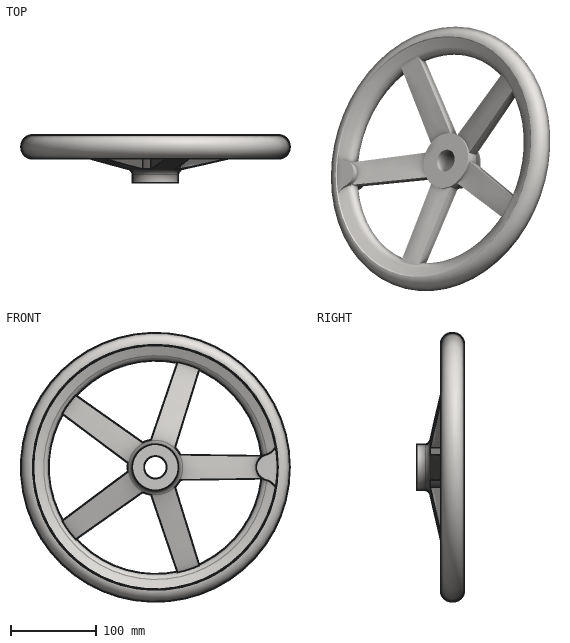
import cadquery as cq
import math


OUTER_RADIUS = 157.5
RIM_THICKNESS = 28.0
RIM_WIDTH = 33.0
GRIP_RADIUS = RIM_THICKNESS / 2
GRIP_CENTER_RADIUS = OUTER_RADIUS - GRIP_RADIUS
RIM_INNER_RADIUS = OUTER_RADIUS - RIM_WIDTH
RIM_STEP = 1.0
FLANK_RADIUS = GRIP_CENTER_RADIUS - RIM_STEP
NOSE_RADIUS = 9.5
RIM_MID_Y = RIM_THICKNESS / 2

HUB_FACE_Y = -28.0
HUB_NECK_RADIUS = 27.0
HUB_FILLET = 6.0
HUB_BODY_RADIUS = 32.7
HUB_LENGTH = 32.0
BORE_DIAMETER = 26.0

SPOKE_COUNT = 5
SPOKE_START_RADIUS = 20.0
SPOKE_END_RADIUS = 132.0
SPOKE_START_WIDTH = 30.0
SPOKE_END_WIDTH = 26.2
SPOKE_ROOT_RADIUS = 31.0
SPOKE_ROOT_Y = -12.3
SPOKE_TILT = 12.8
SPOKE_START_THICKNESS = 13.5
SPOKE_END_THICKNESS = 11.8

PAD_RADIUS = 15.3
PAD_CENTER_RADIUS = 133.3
PAD_JOIN_ANGLE = 105.0
PAD_FLARE_RADIUS = 18.0
PAD_STEP = RIM_STEP


def make_rim():
    """Half-round grip outside, flanks tapering to a rounded nose inside."""
    corner_height = GRIP_RADIUS - RIM_STEP
    nose_center = RIM_INNER_RADIUS + NOSE_RADIUS
    span = FLANK_RADIUS - nose_center
    reach = math.hypot(span, corner_height)
    normal_angle = math.atan2(corner_height, span) + math.acos(NOSE_RADIUS / reach)
    tangent_radius = nose_center + NOSE_RADIUS * math.cos(normal_angle)
    tangent_height = NOSE_RADIUS * math.sin(normal_angle)

    profile = (
        cq.Workplane("XY")
        .moveTo(GRIP_CENTER_RADIUS, RIM_MID_Y - GRIP_RADIUS)
        .threePointArc((OUTER_RADIUS, RIM_MID_Y), (GRIP_CENTER_RADIUS, RIM_MID_Y + GRIP_RADIUS))
        .lineTo(FLANK_RADIUS, RIM_MID_Y + corner_height)
        .lineTo(tangent_radius, RIM_MID_Y + tangent_height)
        .threePointArc((RIM_INNER_RADIUS, RIM_MID_Y), (tangent_radius, RIM_MID_Y - tangent_height))
        .lineTo(FLANK_RADIUS, RIM_MID_Y - corner_height)
        .close()
    )
    return profile.revolve(360, (0, 0, 0), (0, 1, 0))


def spoke_front_y(radius):
    return SPOKE_ROOT_Y + (radius - SPOKE_ROOT_RADIUS) * math.tan(math.radians(SPOKE_TILT))


def spoke_back_y(radius):
    fraction = (radius - SPOKE_START_RADIUS) / (SPOKE_END_RADIUS - SPOKE_START_RADIUS)
    thickness = SPOKE_START_THICKNESS + fraction * (SPOKE_END_THICKNESS - SPOKE_START_THICKNESS)
    return spoke_front_y(radius) + thickness


def make_hub_and_dish():
    """Hub with a full conical dish around it; the neck blends into the dish through a fillet."""
    tilt = math.radians(SPOKE_TILT)
    fillet_center_radius = HUB_NECK_RADIUS + HUB_FILLET
    fillet_end_radius = fillet_center_radius - HUB_FILLET * math.sin(tilt)
    fillet_end_y = spoke_front_y(fillet_end_radius)
    fillet_center_y = fillet_end_y - HUB_FILLET * math.cos(tilt)
    middle_angle = (math.pi / 2 - tilt) / 2
    fillet_middle = (
        fillet_center_radius - HUB_FILLET * math.cos(middle_angle),
        fillet_center_y + HUB_FILLET * math.sin(middle_angle),
    )
    hub_back_y = HUB_FACE_Y + HUB_LENGTH
    profile = (
        cq.Workplane("XY")
        .moveTo(0, HUB_FACE_Y)
        .lineTo(HUB_NECK_RADIUS, HUB_FACE_Y)
        .lineTo(HUB_NECK_RADIUS, fillet_center_y)
        .threePointArc(fillet_middle, (fillet_end_radius, fillet_end_y))
        .lineTo(SPOKE_END_RADIUS, spoke_front_y(SPOKE_END_RADIUS))
        .lineTo(SPOKE_END_RADIUS, spoke_back_y(SPOKE_END_RADIUS))
        .lineTo(HUB_BODY_RADIUS, spoke_back_y(HUB_BODY_RADIUS))
        .lineTo(HUB_BODY_RADIUS, hub_back_y)
        .lineTo(0, hub_back_y)
        .close()
    )
    return profile.revolve(360, (0, 0, 0), (0, 1, 0))


def make_spoke_star():
    """Prism through the whole wheel: the hub circle with one tapering bar per spoke."""
    plane = cq.Workplane("XZ", origin=(0, RIM_THICKNESS, 0))
    depth = RIM_THICKNESS - HUB_FACE_Y
    bar = (
        plane.moveTo(SPOKE_START_RADIUS, -SPOKE_START_WIDTH / 2)
        .lineTo(OUTER_RADIUS, -SPOKE_END_WIDTH / 2)
        .lineTo(OUTER_RADIUS, SPOKE_END_WIDTH / 2)
        .lineTo(SPOKE_START_RADIUS, SPOKE_START_WIDTH / 2)
        .close()
        .extrude(depth)
    )
    star = plane.circle(HUB_BODY_RADIUS).extrude(depth)
    for index in range(SPOKE_COUNT):
        angle = index * 360 / SPOKE_COUNT
        star = star.union(bar.rotate((0, 0, 0), (0, 1, 0), angle))
    return star


def make_handle_pad():
    """Round-nosed pad that flares into the rim flank on both sides."""
    join_angle = math.radians(PAD_JOIN_ANGLE)
    center_distance = PAD_RADIUS + PAD_FLARE_RADIUS
    flare_center_x = PAD_CENTER_RADIUS + center_distance * math.cos(join_angle)
    flare_center_z = center_distance * math.sin(join_angle)
    join_x = PAD_CENTER_RADIUS + PAD_RADIUS * math.cos(join_angle)
    join_z = PAD_RADIUS * math.sin(join_angle)
    flare_end_x = flare_center_x + PAD_FLARE_RADIUS
    middle_angle = join_angle / 2
    flare_middle_x = flare_center_x + PAD_FLARE_RADIUS * math.sin(middle_angle)
    flare_middle_z = flare_center_z - PAD_FLARE_RADIUS * math.cos(middle_angle)
    nose_x = PAD_CENTER_RADIUS - PAD_RADIUS
    outline = (
        cq.Workplane("XZ", origin=(0, RIM_THICKNESS - PAD_STEP, 0))
        .moveTo(flare_end_x, -flare_center_z)
        .threePointArc((flare_middle_x, -flare_middle_z), (join_x, -join_z))
        .threePointArc((nose_x, 0), (join_x, join_z))
        .threePointArc((flare_middle_x, flare_middle_z), (flare_end_x, flare_center_z))
        .close()
    )
    pad_thickness = RIM_THICKNESS - 2 * PAD_STEP
    limit = (
        cq.Workplane("XZ", origin=(0, RIM_THICKNESS, 0))
        .circle(FLANK_RADIUS)
        .extrude(RIM_THICKNESS)
    )
    return outline.extrude(pad_thickness).intersect(limit)


def make_bore():
    return (
        cq.Workplane("XZ", origin=(0, HUB_FACE_Y + HUB_LENGTH, 0))
        .circle(BORE_DIAMETER / 2)
        .extrude(HUB_LENGTH)
    )


hub_and_spokes = make_hub_and_dish().intersect(make_spoke_star())
wheel = make_rim().union(hub_and_spokes).union(make_handle_pad())
result = wheel.cut(make_bore())